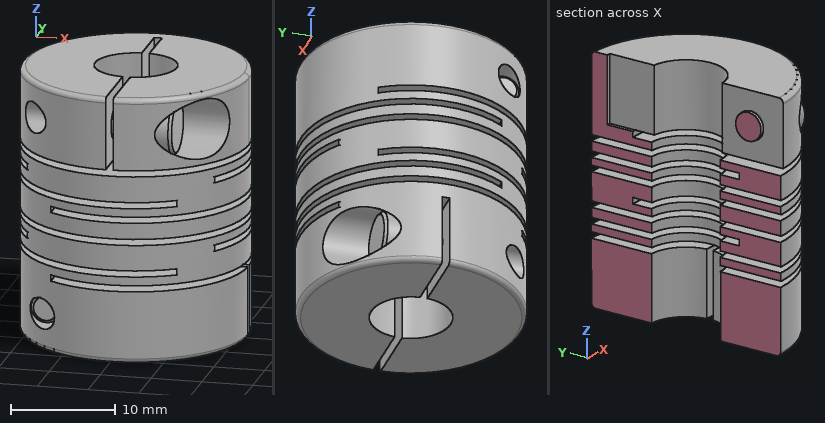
import cadquery as cq

LENGTH = 26.5
OUTER_RADIUS = 11.1
BORE_RADIUS = 4.0
RIM_FILLET = 0.5

CUT_WIDTH = 0.6
WEB_INNER_FACE = 6.2
CUT_OFFSETS = (1.1, 2.57, 4.27, 5.75)

SLIT_WIDTH = 0.75
SLIT_CLOSED_END = 9.17
SLIT_DEPTH = LENGTH / 2 - max(CUT_OFFSETS) - CUT_WIDTH / 2

SCREW_FROM_END = 3.63
SCREW_FROM_AXIS = 7.3
SHANK_RADIUS = 1.5
TIP_CHAMFER = 0.3
TIP_POSITION = -6.68
SEAT_POSITION = 2.73
HEAD_RADIUS = 2.75
HEAD_HEIGHT = 3.07
HEAD_CHAMFER = 0.3
COUNTERBORE_RADIUS = 2.97

REACH = 2 * OUTER_RADIUS


def hub():
    body = cq.Workplane("XY").circle(OUTER_RADIUS).extrude(LENGTH)
    body = body.edges().fillet(RIM_FILLET)
    return body.cut(cq.Workplane("XY").circle(BORE_RADIUS).extrude(LENGTH))


def flexure_cut(height, web_angle):
    """Slot centred at height whose web lies at web_angle (degrees from +X)."""
    slot = cq.Workplane("XY").box(REACH, REACH, CUT_WIDTH)
    slot = slot.translate((WEB_INNER_FACE - REACH / 2, 0, height))
    return slot.rotate((0, 0, 0), (0, 0, 1), web_angle)


def flexure_cuts():
    """All slots from top to bottom; the webs repeat as +Y, -Y, +X, -X."""
    web_angles = (90, 270, 0, 180)
    offsets = list(reversed(CUT_OFFSETS)) + [-offset for offset in CUT_OFFSETS]
    return [
        flexure_cut(LENGTH / 2 + offset, web_angles[index % len(web_angles)])
        for index, offset in enumerate(offsets)
    ]


def upper_slit():
    """Slit open at -Y, closed inside the wall at +Y."""
    slit = cq.Workplane("XY").box(SLIT_WIDTH, REACH, SLIT_DEPTH)
    return slit.translate((0, SLIT_CLOSED_END - REACH / 2, LENGTH - SLIT_DEPTH / 2))


def lower_slit():
    """Slit along X, open at both sides."""
    return cq.Workplane("XY").box(REACH, SLIT_WIDTH, SLIT_DEPTH).translate((0, 0, SLIT_DEPTH / 2))


def along_x(radius, start, end):
    """Cylinder on the upper screw axis, from X = start to X = end."""
    center = (-SCREW_FROM_AXIS, LENGTH - SCREW_FROM_END)
    return cq.Workplane("YZ", origin=(start, 0, 0)).center(*center).circle(radius).extrude(end - start)


def screw_hole():
    hole = along_x(SHANK_RADIUS, -REACH, SEAT_POSITION)
    return hole.union(along_x(COUNTERBORE_RADIUS, SEAT_POSITION, REACH))


def screw():
    shank = along_x(SHANK_RADIUS, TIP_POSITION, SEAT_POSITION).faces("<X").chamfer(TIP_CHAMFER)
    head = along_x(HEAD_RADIUS, SEAT_POSITION, SEAT_POSITION + HEAD_HEIGHT)
    return shank.union(head.faces(">X").chamfer(HEAD_CHAMFER))


def to_lower_clamp(shape):
    """Half turn about the horizontal X = Y line at mid-length."""
    middle = LENGTH / 2
    return shape.rotate((0, 0, middle), (0.26, 0.26, middle), 180)


result = hub().cut(upper_slit()).cut(lower_slit())
for cut in flexure_cuts():
    result = result.cut(cut)
result = result.cut(screw_hole()).cut(to_lower_clamp(screw_hole()))
result = result.union(screw()).union(to_lower_clamp(screw()))